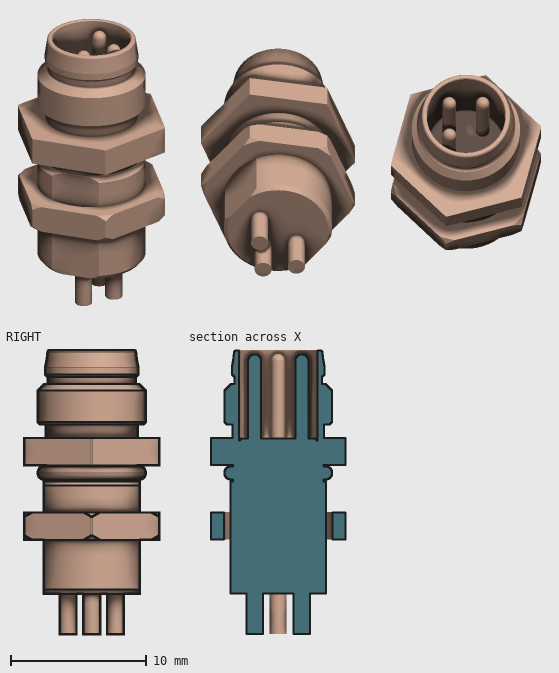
import cadquery as cq
import math

Z_BODY_BOTTOM = 3.0
Z_NUT_BOTTOM = 7.0
Z_BODY_TOP = 11.3
Z_FLANGE_BOTTOM = 12.5
Z_COLLAR_BOTTOM = 15.5
Z_COLLAR_TOP = 18.5
Z_SLEEVE_BOTTOM = 19.0
Z_SLEEVE_TAPER = 19.7
Z_RIM = 21.0

BODY_DIAMETER = 8.0
SEAL_SEAT_DIAMETER = 6.7
NECK_DIAMETER = 6.8
GROOVE_DIAMETER = 6.5
SLEEVE_DIAMETER = 6.9
RIM_DIAMETER = 6.5

BODY_CHAMFER_RADIAL = 0.27
BODY_CHAMFER_HEIGHT = 0.32
COLLAR_TOP_CHAMFER = 0.5
COLLAR_BOTTOM_CHAMFER = 0.19
RIM_FILLET = 0.19

BODY_ACROSS_FLATS = 7.1

HEX_ACROSS_FLATS = 10.0
HEX_HEIGHT = 2.02
HEX_CORNER_FILLET = 0.1
NUT_FACE_DIAMETER = 10.92
NUT_CHAMFER_HEIGHT = 0.34

SEAL_SECTION_RADIUS = 0.5
SEAL_Z = 11.93

SOCKET_DIAMETER = 5.8
FLOOR_ROUNDING = 0.27
SOCKET_DEPTH = 6.5
MOUTH_CHAMFER = 0.06
CONTACT_CIRCLE_RADIUS = 1.75
CONTACT_ANGLES = (-90, 0, 90)
PIN_DIAMETER = 1.0
PIN_TOP_Z = 20.7
WIRE_DIAMETER = 1.25


def revolve_profile(points):
    """Turn a closed (radius, z) outline about the Z axis."""
    return cq.Workplane("XZ").polyline(points).close().revolve(360, (0, 0, 0), (0, 1, 0))


def cylinder(diameter, bottom, top):
    return cq.Workplane("XY").workplane(offset=bottom).circle(diameter / 2).extrude(top - bottom)


def hexagon(bottom):
    """Hexagonal plate with two flats facing +Y and -Y and lightly rounded corners."""
    across_corners = HEX_ACROSS_FLATS / math.cos(math.radians(30))
    plate = cq.Workplane("XY").workplane(offset=bottom).polygon(6, across_corners).extrude(HEX_HEIGHT)
    return plate.edges("|Z").fillet(HEX_CORNER_FILLET)


def chamfered_cylinder(diameter, bottom, top, chamfer_radial, chamfer_height):
    """Cylinder with the same chamfer on both end edges."""
    radius = diameter / 2
    end_radius = radius - chamfer_radial
    return revolve_profile([
        (0, bottom),
        (end_radius, bottom),
        (radius, bottom + chamfer_height),
        (radius, top - chamfer_height),
        (end_radius, top),
        (0, top),
    ])


def threaded_body():
    """Lower barrel with two parallel flats facing +Y and -Y."""
    barrel = chamfered_cylinder(
        BODY_DIAMETER, Z_BODY_BOTTOM, Z_BODY_TOP, BODY_CHAMFER_RADIAL, BODY_CHAMFER_HEIGHT
    )
    flats = cq.Workplane("XY").box(BODY_DIAMETER, BODY_ACROSS_FLATS, 2 * Z_BODY_TOP)
    return barrel.intersect(flats)


def lock_nut():
    """Hexagon with coned corners and a round bore that clears the flats of the body."""
    corner_diameter = HEX_ACROSS_FLATS / math.cos(math.radians(30))
    cone_blank = chamfered_cylinder(
        corner_diameter,
        Z_NUT_BOTTOM,
        Z_NUT_BOTTOM + HEX_HEIGHT,
        (corner_diameter - NUT_FACE_DIAMETER) / 2,
        NUT_CHAMFER_HEIGHT,
    )
    bore = cylinder(BODY_DIAMETER, Z_NUT_BOTTOM, Z_NUT_BOTTOM + HEX_HEIGHT)
    return hexagon(Z_NUT_BOTTOM).intersect(cone_blank).cut(bore)


def sealing_ring():
    """Torus with the same outside diameter as the body."""
    ring_radius = BODY_DIAMETER / 2 - SEAL_SECTION_RADIUS
    section = cq.Workplane("XZ").center(ring_radius, SEAL_Z).circle(SEAL_SECTION_RADIUS)
    return section.revolve(360, (-ring_radius, 0, 0), (-ring_radius, 1, 0))


def plug_head():
    """Neck, collar, snap groove and tapered sleeve above the flange."""
    collar_radius = BODY_DIAMETER / 2
    groove_radius = GROOVE_DIAMETER / 2
    sleeve_radius = SLEEVE_DIAMETER / 2
    groove_chamfer = sleeve_radius - groove_radius
    head = revolve_profile([
        (0, Z_FLANGE_BOTTOM),
        (NECK_DIAMETER / 2, Z_FLANGE_BOTTOM),
        (NECK_DIAMETER / 2, Z_COLLAR_BOTTOM),
        (collar_radius - COLLAR_BOTTOM_CHAMFER, Z_COLLAR_BOTTOM),
        (collar_radius, Z_COLLAR_BOTTOM + COLLAR_BOTTOM_CHAMFER),
        (collar_radius, Z_COLLAR_TOP - COLLAR_TOP_CHAMFER),
        (collar_radius - COLLAR_TOP_CHAMFER, Z_COLLAR_TOP),
        (groove_radius, Z_COLLAR_TOP),
        (groove_radius, Z_SLEEVE_BOTTOM),
        (sleeve_radius, Z_SLEEVE_BOTTOM + groove_chamfer),
        (sleeve_radius, Z_SLEEVE_TAPER),
        (RIM_DIAMETER / 2, Z_RIM),
        (0, Z_RIM),
    ])
    return head.faces(">Z").edges().fillet(RIM_FILLET)


def socket():
    """Void of the bore: raised floor with a rounded rim, small chamfer at the mouth."""
    bore_radius = SOCKET_DIAMETER / 2
    floor_z = Z_RIM - SOCKET_DEPTH
    flat_radius = bore_radius - FLOOR_ROUNDING
    arc_reach = FLOOR_ROUNDING * math.sin(math.radians(45))
    arc_middle = (flat_radius + arc_reach, floor_z - FLOOR_ROUNDING + arc_reach)
    outline = (
        cq.Workplane("XZ")
        .moveTo(0, floor_z)
        .lineTo(flat_radius, floor_z)
        .threePointArc(arc_middle, (bore_radius, floor_z - FLOOR_ROUNDING))
        .lineTo(bore_radius, Z_RIM - MOUTH_CHAMFER)
        .lineTo(bore_radius + MOUTH_CHAMFER, Z_RIM)
        .lineTo(0, Z_RIM)
        .close()
    )
    return outline.revolve(360, (0, 0, 0), (0, 1, 0))


def contact(angle):
    """Round-tipped pin in the socket with its wire leaving the body below."""
    x = CONTACT_CIRCLE_RADIUS * math.cos(math.radians(angle))
    y = CONTACT_CIRCLE_RADIUS * math.sin(math.radians(angle))
    pin_radius = PIN_DIAMETER / 2
    shank_top = PIN_TOP_Z - pin_radius
    shank = cylinder(PIN_DIAMETER, Z_FLANGE_BOTTOM, shank_top)
    tip = cq.Workplane("XY").sphere(pin_radius).translate((0, 0, shank_top))
    wire = cylinder(WIRE_DIAMETER, 0, Z_NUT_BOTTOM)
    return shank.union(tip).union(wire).translate((x, y, 0))


result = (
    plug_head()
    .union(hexagon(Z_FLANGE_BOTTOM))
    .union(cylinder(SEAL_SEAT_DIAMETER, Z_NUT_BOTTOM, Z_FLANGE_BOTTOM))
    .union(threaded_body())
    .union(lock_nut())
    .union(sealing_ring())
    .cut(socket())
)
for contact_angle in CONTACT_ANGLES:
    result = result.union(contact(contact_angle))